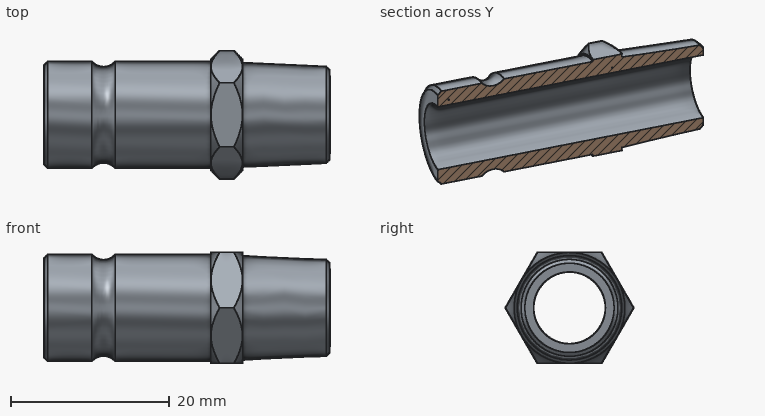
import cadquery as cq
import math

total_length = 36.0
hex_start = 21.0
hex_width = 4.0
hex_end = hex_start + hex_width

body_radius = 13.5 / 2
groove_start = 6.0
groove_width = 3.0
groove_arc_radius = 2.0
end_chamfer = 0.5

across_flats = 14.0
hex_face_diameter = 13.95

thread_root_radius = 13.157 / 2
thread_tip_radius = 12.2 / 2
end_face_rise = 0.02

bore_radius = 9.0 / 2


def make_body():
    """Turned plug body, with a round groove that the coupling locks into."""
    groove_end = groove_start + groove_width
    half_width = groove_width / 2
    groove_depth = groove_arc_radius - math.sqrt(groove_arc_radius**2 - half_width**2)
    groove_bottom = (groove_start + half_width, body_radius - groove_depth)
    profile = (
        cq.Workplane("XY")
        .lineTo(0, body_radius - end_chamfer)
        .lineTo(end_chamfer, body_radius)
        .lineTo(groove_start, body_radius)
        .threePointArc(groove_bottom, (groove_end, body_radius))
        .lineTo(hex_start, body_radius)
        .lineTo(hex_start, 0)
        .close()
    )
    return profile.revolve(360, (0, 0, 0), (1, 0, 0))


def make_hexagon():
    """Hexagon with flats facing +Z and -Z, its corners bevelled at 45 degrees on both faces."""
    corner_radius = across_flats / 2 / math.cos(math.pi / 6)
    face_radius = hex_face_diameter / 2
    bevel = corner_radius - face_radius
    prism = (
        cq.Workplane("YZ", origin=(hex_start, 0, 0))
        .polygon(6, 2 * corner_radius)
        .extrude(hex_width)
    )
    bevel_envelope = (
        cq.Workplane("YZ", origin=(hex_start, 0, 0))
        .circle(corner_radius)
        .extrude(hex_width)
        .edges("%CIRCLE")
        .chamfer(bevel)
    )
    return prism.intersect(bevel_envelope)


def make_thread_end():
    """Plain cone in place of the tapered thread, chamfered at 45 degrees at its tip."""
    rim_position = total_length - end_face_rise
    rim_radius = thread_tip_radius - (end_chamfer - end_face_rise)
    profile = (
        cq.Workplane("XY")
        .moveTo(hex_end, 0)
        .lineTo(hex_end, thread_root_radius)
        .lineTo(total_length - end_chamfer, thread_tip_radius)
        .lineTo(rim_position, rim_radius)
        .lineTo(total_length, bore_radius)
        .lineTo(total_length, 0)
        .close()
    )
    return profile.revolve(360, (0, 0, 0), (1, 0, 0))


def make_bore():
    """Through bore along the X axis."""
    return cq.Workplane("YZ").circle(bore_radius).extrude(total_length)


result = make_body().union(make_hexagon()).union(make_thread_end()).cut(make_bore())